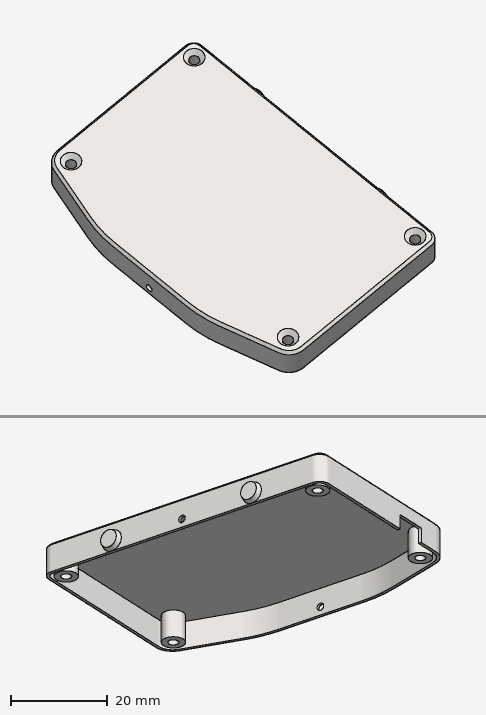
import cadquery as cq
import math

WIDTH = 71.85
DEPTH = 49.15
HEIGHT = 7.0
WALL = 0.7
TOP_CHAMFER = 0.65

FRONT_ANGLE = 16.0
FRONT_HALF_WIDTH = 15.1
BACK_RADIUS = 2.4
SIDE_RADIUS = 4.3
FRONT_RADIUS = 30.0

SCREW_DIAMETER = 2.3
SCREW_HEAD_DIAMETER = 4.45
SCREW_HEAD_ANGLE = 90.0
POST_DIAMETER = 5.0
BACK_SCREW_X = 32.25
BACK_SCREW_INSET = 3.5
FRONT_SCREW_X = 31.7
FRONT_SCREW_INSET = 8.9

PIN_HOLE_DIAMETER = 1.65
PIN_HOLE_Z = 1.95

NOTCH_START = 14.4
NOTCH_LENGTH = 7.4
NOTCH_HEIGHT = 3.4
NOTCH_RADIUS = 0.35

STUD_X = 17.95
STUD_Z = 2.45
STUD_BASE_DIAMETER = 4.8
STUD_TIP_DIAMETER = 4.0
STUD_LENGTH = 1.2

HALF_WIDTH = WIDTH / 2
BACK_Y = DEPTH / 2
FRONT_Y = -DEPTH / 2
SHOULDER_Y = FRONT_Y + (HALF_WIDTH - FRONT_HALF_WIDTH) * math.tan(math.radians(FRONT_ANGLE))
ROOF_Z = HEIGHT - WALL

SCREW_POINTS = [
    (side * x, y)
    for side in (-1, 1)
    for x, y in (
        (BACK_SCREW_X, BACK_Y - BACK_SCREW_INSET),
        (FRONT_SCREW_X, FRONT_Y + FRONT_SCREW_INSET),
    )
]


def make_block():
    """Solid block with the rounded outline and a chamfered top edge."""
    half_outline = [
        (FRONT_HALF_WIDTH, FRONT_Y),
        (HALF_WIDTH, SHOULDER_Y),
        (HALF_WIDTH, BACK_Y),
    ]
    mirrored = [(-x, y) for x, y in reversed(half_outline)]
    block = cq.Workplane("XY").polyline(half_outline + mirrored).close().extrude(HEIGHT)

    for (x, y), radius in zip(half_outline, (FRONT_RADIUS, SIDE_RADIUS, BACK_RADIUS)):
        for side in (-1, 1):
            corner = cq.selectors.NearestToPointSelector((side * x, y, HEIGHT / 2))
            block = block.edges("|Z").edges(corner).fillet(radius)
    return block


def make_cavity(block):
    """Space below the roof, inset from the outline by the wall thickness."""
    outline = block.faces("<Z").wires().vals()
    return cq.Workplane("XY").add(outline).toPending().offset2D(-WALL).extrude(ROOF_Z)


def make_posts(block):
    posts = cq.Workplane("XY").pushPoints(SCREW_POINTS).circle(POST_DIAMETER / 2).extrude(HEIGHT)
    return posts.intersect(block)


def make_stud(x):
    """Stud tapering outwards from the back wall."""
    return cq.Workplane(
        cq.Solid.makeCone(
            STUD_BASE_DIAMETER / 2,
            STUD_TIP_DIAMETER / 2,
            STUD_LENGTH,
            pnt=cq.Vector(x, BACK_Y, STUD_Z),
            dir=cq.Vector(0, 1, 0),
        )
    )


def make_notch():
    return (
        cq.Workplane("XY")
        .box(2 * WALL, NOTCH_LENGTH, 2 * NOTCH_HEIGHT)
        .edges("|X and >Z")
        .fillet(NOTCH_RADIUS)
        .translate((-HALF_WIDTH, FRONT_Y + NOTCH_START + NOTCH_LENGTH / 2, 0))
    )


def make_pin_hole():
    return (
        cq.Workplane("XZ")
        .center(0, PIN_HOLE_Z)
        .circle(PIN_HOLE_DIAMETER / 2)
        .extrude(DEPTH, both=True)
    )


block = make_block().faces(">Z").edges().chamfer(TOP_CHAMFER)
result = block.cut(make_cavity(block)).union(make_posts(block))
for stud_x in (-STUD_X, STUD_X):
    result = result.union(make_stud(stud_x))
result = (
    result.cut(make_notch())
    .cut(make_pin_hole())
    .faces(">Z")
    .workplane(origin=(0, 0, HEIGHT))
    .pushPoints(SCREW_POINTS)
    .cskHole(SCREW_DIAMETER, SCREW_HEAD_DIAMETER, SCREW_HEAD_ANGLE)
)